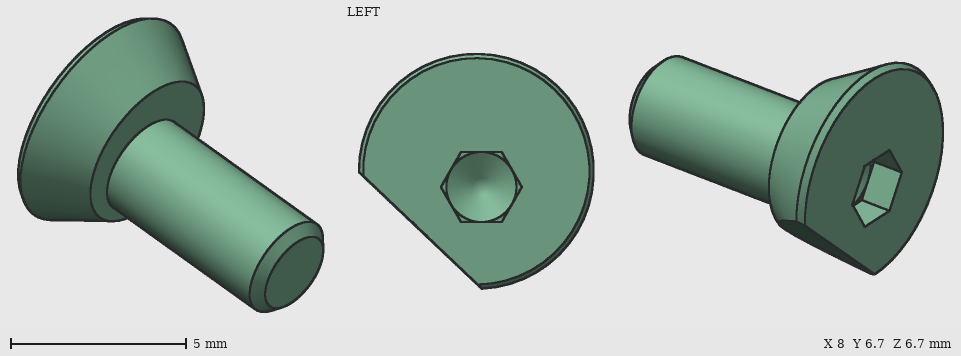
import cadquery as cq
import math

total_length = 8.0
shank_diameter = 3.0
tip_chamfer = 0.31

head_length = 2.0
head_radius = 3.35
head_half_angle = math.radians(30)
rim_length = 0.22
face_radius = head_radius - rim_length * math.tan(head_half_angle)
neck_radius = head_radius - (head_length - rim_length) * math.tan(head_half_angle)

shank_y = -0.14
shank_z = -0.45

flat_distance = 2.32
flat_angle = 43.5

socket_across_flats = 2.0
socket_depth = 1.0
socket_cone_depth = 0.58


def make_head():
    profile = [
        (0, 0),
        (0, face_radius),
        (rim_length, head_radius),
        (head_length, neck_radius),
        (head_length, 0),
    ]
    head = cq.Workplane("XY").polyline(profile).close().revolve(360, (0, 0, 0), (1, 0, 0))
    waste_size = 2 * head_radius
    waste = (
        cq.Workplane("XY")
        .box(head_length, 2 * waste_size, waste_size, centered=(False, True, False))
        .translate((0, 0, -flat_distance - waste_size))
        .rotate((0, 0, 0), (1, 0, 0), flat_angle)
    )
    return head.cut(waste)


def make_shank():
    return (
        cq.Workplane("YZ", origin=(head_length, shank_y, shank_z))
        .circle(shank_diameter / 2)
        .extrude(total_length - head_length)
        .faces(">X")
        .chamfer(tip_chamfer)
    )


def make_socket():
    across_corners = socket_across_flats / math.cos(math.pi / 6)
    hexagon = (
        cq.Workplane("YZ", origin=(0, shank_y, shank_z))
        .polygon(6, across_corners)
        .extrude(socket_depth)
    )
    cone = cq.Solid.makeCone(
        socket_across_flats / 2,
        0,
        socket_cone_depth,
        pnt=cq.Vector(socket_depth, shank_y, shank_z),
        dir=cq.Vector(1, 0, 0),
    )
    return hexagon.union(cq.Workplane(obj=cone))


result = make_head().union(make_shank()).cut(make_socket())